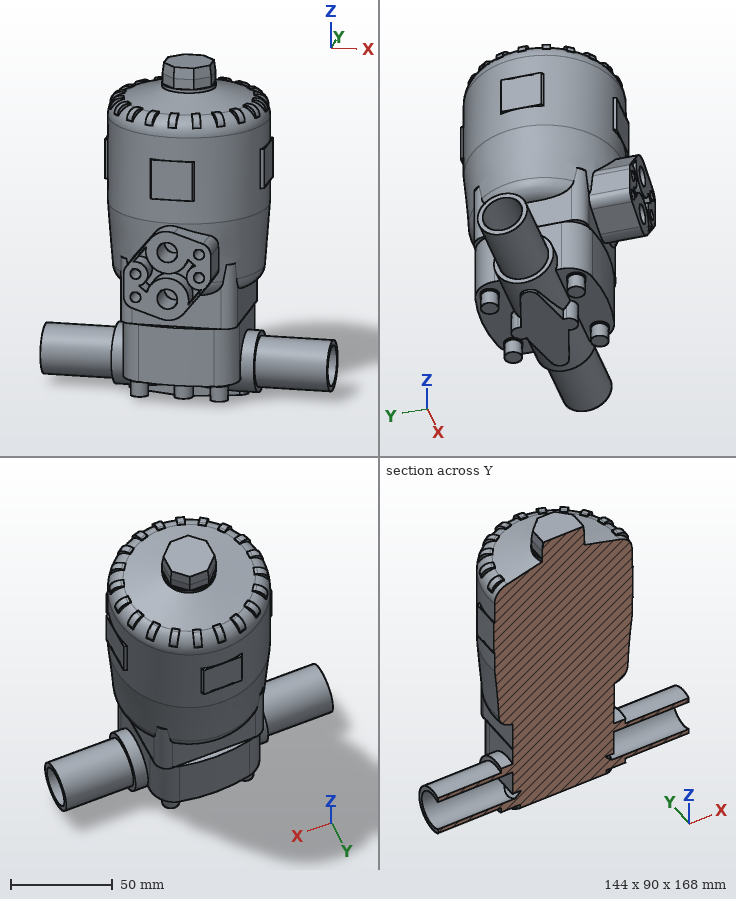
import cadquery as cq
import math


pipe_length = 144.0
pipe_diameter = 25.4
pipe_radius = pipe_diameter / 2
bore_radius = 10.0
collar_length = 71.5
collar_radius = 15.3

block_half_x = 29.0
block_half_y = 32.1
block_corner_radius = 13.1
block_bulge_radius = 84.0
block_bottom = -5.4
block_top = 24.0

neck_half = 29.2
neck_corner_radius = 6.9
neck_top = 57.0

base_bottom = -16.6
base_height = block_bottom - base_bottom
base_round_radius = 4.5
base_tip_x = 25.4
base_rib_y = 12.5
lozenge_half_x = 26.5
lozenge_half_y = 12.1

screw_x = 20.0
screw_y = 22.2
screw_radius = 4.4
screw_bottom = -14.1
washer_radius = 4.7
washer_thickness = 1.0

housing_diameter = 79.8
housing_radius = housing_diameter / 2
housing_foot_radius = 37.5
housing_foot_fillet = 8.4
housing_foot_z = 48.7
housing_waist_z = 80.0
shoulder_z = 124.0
shoulder_radius = 9.7
lid_edge_radius = 32.5
lid_flange_radius = 13.3
lid_flange_bottom = 139.0
lid_flange_top = 140.6

tab_count = 20
tab_width = 3.9
tab_inner_radius = 32.1
tab_round_center = 33.6
tab_round_radius = 5.5
tab_bottom = 128.5

cap_half_width = 12.3
cap_top_half_width = 11.6
cap_taper_z = 145.8
cap_top = 151.4

pad_face = 40.0
pad_half_width = 10.2
pad_root_half_width = 11.8
pad_root = 37.0
pad_height = 20.0
pad_count = 4
pad_center_z = 101.8

flange_face_y = -50.0
flange_root_y = -25.2
flange_center_z = 56.0
port_offset = 12.0
port_radius = 5.0
port_depth = 16.8
port_land_radius = 10.8
bolt_hole_offset = 16.0
bolt_hole_diameter = 5.2
bolt_hole_radius = bolt_hole_diameter / 2
bolt_hole_depth = 13.5
bolt_corner_radius = 5.9
bolt_land_radius = 6.2
recess_length = 34.1
recess_width = 27.0
recess_angle = 39.0
recess_depth = 10.0

ports = [(0, port_offset), (0, -port_offset)]
middle_holes = [(bolt_hole_offset, 0), (-bolt_hole_offset, 0)]
outer_holes = [(bolt_hole_offset, port_offset), (-bolt_hole_offset, -port_offset)]


def upright_cylinder(x, y, bottom, top, radius):
    return cq.Workplane("XY", origin=(x, y, bottom)).circle(radius).extrude(top - bottom)


def cylinder_along_x(start, end, radius):
    return cq.Workplane("YZ", origin=(start, 0, 0)).circle(radius).extrude(end - start)


def arc_point(center, radius, angle):
    """Point on a circle at an angle in degrees."""
    turn = math.radians(angle)
    return (center[0] + radius * math.cos(turn), center[1] + radius * math.sin(turn))


def make_block():
    """Block with flat X faces, slightly bulged Y faces and round corners tangent to both."""
    corner_x = block_half_x - block_corner_radius
    center_distance = block_bulge_radius - block_corner_radius
    tangent_angle = math.degrees(math.acos(corner_x / center_distance))
    bulge_center_y = block_half_y - block_bulge_radius
    corner_y = bulge_center_y + math.sqrt(center_distance**2 - corner_x**2)
    corner = (corner_x, corner_y)
    tangent_x, tangent_y = arc_point(corner, block_corner_radius, tangent_angle)
    mid_x, mid_y = arc_point(corner, block_corner_radius, tangent_angle / 2)
    return (
        cq.Workplane("XY", origin=(0, 0, block_bottom))
        .moveTo(block_half_x, -corner_y)
        .lineTo(block_half_x, corner_y)
        .threePointArc((mid_x, mid_y), (tangent_x, tangent_y))
        .threePointArc((0, block_half_y), (-tangent_x, tangent_y))
        .threePointArc((-mid_x, mid_y), (-block_half_x, corner_y))
        .lineTo(-block_half_x, -corner_y)
        .threePointArc((-mid_x, -mid_y), (-tangent_x, -tangent_y))
        .threePointArc((0, -block_half_y), (tangent_x, -tangent_y))
        .threePointArc((mid_x, -mid_y), (block_half_x, -corner_y))
        .close()
        .extrude(block_top - block_bottom)
    )


def make_neck():
    return (
        cq.Workplane("XY", origin=(0, 0, block_top))
        .rect(2 * neck_half, 2 * neck_half)
        .extrude(neck_top - block_top)
        .edges("|Z")
        .fillet(neck_corner_radius)
    )


def base_ridge(half_length, angle):
    """Upright round-ended ridge through the Z axis; half_length reaches the centers of its ends."""
    return (
        cq.Workplane("XY", origin=(0, 0, base_bottom))
        .slot2D(2 * (half_length + base_round_radius), 2 * base_round_radius, angle)
        .extrude(base_height)
    )


def make_base():
    """Lozenge plate crossed by two round-ended ridges, along X and along Y."""
    outline = [
        (0, lozenge_half_y),
        (lozenge_half_x, base_round_radius),
        (lozenge_half_x, -base_round_radius),
        (0, -lozenge_half_y),
        (-lozenge_half_x, -base_round_radius),
        (-lozenge_half_x, base_round_radius),
    ]
    plate = cq.Workplane("XY", origin=(0, 0, base_bottom)).polyline(outline).close().extrude(base_height)
    return plate.union(base_ridge(base_tip_x, 0)).union(base_ridge(base_rib_y, 90))


def make_screw(x, y):
    shank = upright_cylinder(x, y, screw_bottom, block_bottom, screw_radius)
    washer_bottom = block_bottom - washer_thickness
    return shank.union(upright_cylinder(x, y, washer_bottom, block_bottom, washer_radius))


def make_housing():
    """Revolved body: rounded foot, tapered skirt, cylinder, rounded shoulder and conical lid."""
    foot_center = (housing_foot_radius - housing_foot_fillet, housing_foot_z)
    shoulder_center = (housing_radius - shoulder_radius, shoulder_z)
    edge_angle = math.degrees(math.acos((lid_edge_radius - shoulder_center[0]) / shoulder_radius))
    return (
        cq.Workplane("XZ")
        .moveTo(0, housing_foot_z - housing_foot_fillet)
        .lineTo(foot_center[0], housing_foot_z - housing_foot_fillet)
        .threePointArc(
            arc_point(foot_center, housing_foot_fillet, -45),
            (housing_foot_radius, housing_foot_z),
        )
        .lineTo(housing_radius, housing_waist_z)
        .lineTo(housing_radius, shoulder_z)
        .threePointArc(
            arc_point(shoulder_center, shoulder_radius, edge_angle / 2),
            arc_point(shoulder_center, shoulder_radius, edge_angle),
        )
        .lineTo(lid_flange_radius, lid_flange_bottom)
        .lineTo(lid_flange_radius, lid_flange_top)
        .lineTo(0, lid_flange_top)
        .close()
        .revolve(360, (0, 0, 0), (0, 1, 0))
    )


def make_tab(angle):
    center = (tab_round_center, tab_bottom)
    tab = (
        cq.Workplane("XZ")
        .moveTo(tab_inner_radius, tab_bottom)
        .lineTo(tab_round_center + tab_round_radius, tab_bottom)
        .threePointArc(
            arc_point(center, tab_round_radius, 45),
            (tab_round_center, tab_bottom + tab_round_radius),
        )
        .lineTo(tab_inner_radius, tab_bottom + tab_round_radius)
        .close()
        .extrude(tab_width / 2, both=True)
    )
    return tab.rotate((0, 0, 0), (0, 0, 1), angle)


def octagon(half_width):
    """Corners of a regular octagon with flats facing X and Y."""
    sides = 8
    step = 360 / sides
    corner_radius = half_width / math.cos(math.pi / sides)
    return [arc_point((0, 0), corner_radius, step * (i + 0.5)) for i in range(sides)]


def make_cap():
    lower = (
        cq.Workplane("XY", origin=(0, 0, lid_flange_top))
        .polyline(octagon(cap_half_width))
        .close()
        .extrude(cap_taper_z - lid_flange_top)
    )
    upper = (
        cq.Workplane("XY", origin=(0, 0, cap_taper_z))
        .polyline(octagon(cap_half_width))
        .close()
        .workplane(offset=cap_top - cap_taper_z)
        .polyline(octagon(cap_top_half_width))
        .close()
        .loft(ruled=True)
    )
    return lower.union(upper)


def make_pad(angle):
    outline = [
        (pad_root, -pad_root_half_width),
        (pad_face, -pad_half_width),
        (pad_face, pad_half_width),
        (pad_root, pad_root_half_width),
    ]
    pad = (
        cq.Workplane("XY", origin=(0, 0, pad_center_z - pad_height / 2))
        .polyline(outline)
        .close()
        .extrude(pad_height)
    )
    return pad.rotate((0, 0, 0), (0, 0, 1), angle)


def flange_plane():
    """Plane on the flange face: local X is X, local Y is Z, extrusions go towards -Y."""
    return cq.Workplane("XZ", origin=(0, flange_face_y, flange_center_z))


def flange_rods(points, radius, depth):
    return flange_plane().pushPoints(points).circle(radius).extrude(-depth)


def make_flange():
    """Flange whose outline wraps tangentially round the ports and the bolt holes."""
    rounds = [
        ((0, port_offset), port_land_radius),
        ((bolt_hole_offset, port_offset), bolt_corner_radius),
        ((bolt_hole_offset, 0), bolt_corner_radius),
        ((0, -port_offset), port_land_radius),
        ((-bolt_hole_offset, -port_offset), bolt_corner_radius),
        ((-bolt_hole_offset, 0), bolt_corner_radius),
    ]
    normals = []
    for i, (center, radius) in enumerate(rounds):
        following, following_radius = rounds[(i + 1) % len(rounds)]
        run = following[0] - center[0]
        rise = following[1] - center[1]
        lean = math.asin((radius - following_radius) / math.hypot(run, rise))
        normals.append(math.degrees(math.atan2(rise, run) - lean) + 90)

    outline = flange_plane().moveTo(*arc_point(*rounds[-1], normals[-1]))
    for i, (center, radius) in enumerate(rounds):
        sweep = (normals[i - 1] - normals[i]) % 360
        outline = outline.lineTo(*arc_point(center, radius, normals[i] + sweep))
        outline = outline.threePointArc(
            arc_point(center, radius, normals[i] + sweep / 2),
            arc_point(center, radius, normals[i]),
        )
    return outline.close().extrude(flange_face_y - flange_root_y)


def make_flange_cuts():
    """Ports, bolt holes and the recess that leaves lands round the ports and middle holes."""
    recess = (
        flange_plane()
        .transformed(rotate=(0, 0, -recess_angle))
        .rect(recess_length, recess_width)
        .extrude(-recess_depth)
        .cut(flange_rods(ports, port_land_radius, recess_depth))
        .cut(flange_rods(middle_holes, bolt_land_radius, recess_depth))
    )
    cuts = recess.union(flange_rods(ports, port_radius, port_depth))
    return cuts.union(flange_rods(middle_holes + outer_holes, bolt_hole_radius, bolt_hole_depth))


def make_bore():
    """Bore of the -X pipe: it stops at the block and ramps up beneath it."""
    ramp_rise = bore_radius + block_bottom
    profile = [
        (-pipe_length / 2, bore_radius),
        (-block_half_x, bore_radius),
        (-block_half_x, block_bottom),
        (-block_half_x + ramp_rise, block_bottom),
        (-block_half_x, -bore_radius),
        (-pipe_length / 2, -bore_radius),
    ]
    limits = cq.Workplane("XZ").polyline(profile).close().extrude(bore_radius, both=True)
    return cylinder_along_x(-pipe_length / 2, 0, bore_radius).intersect(limits)


result = make_block().union(make_neck()).union(make_base())
result = result.union(cylinder_along_x(-pipe_length / 2, pipe_length / 2, pipe_radius))
result = result.union(cylinder_along_x(-collar_length / 2, collar_length / 2, collar_radius))
bore = make_bore()
result = result.cut(bore).cut(bore.mirror("YZ"))

for side_x in (-1, 1):
    for side_y in (-1, 1):
        result = result.union(make_screw(side_x * screw_x, side_y * screw_y))

housing = make_housing().union(make_cap())
for i in range(tab_count):
    housing = housing.union(make_tab(i * 360 / tab_count))
for i in range(pad_count):
    housing = housing.union(make_pad(i * 360 / pad_count))

result = result.union(housing).union(make_flange()).cut(make_flange_cuts())